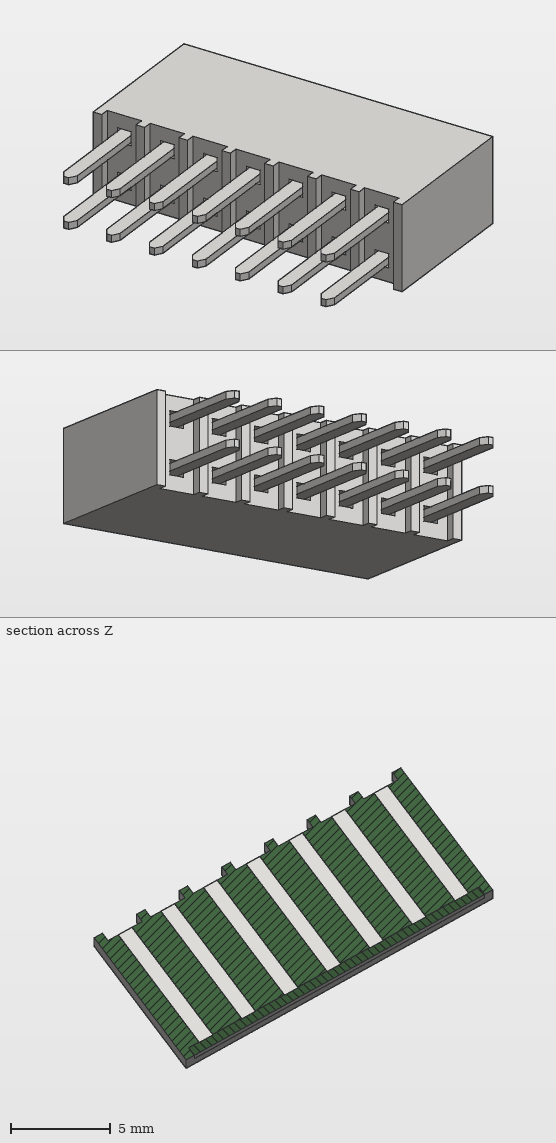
import cadquery as cq

length = 18.29
height = 4.95
total_depth = 13.45
housing_depth = 8.5
columns = 7
rows = 2

rib_width = 0.51
rib_depth = 0.51

pin_width = 0.8
pin_thickness = 0.4
tip_length = 0.4
tip_width = 0.3
hole_side = pin_width

carrier_thickness = 0.51
housing_wall = 0.51

pitch = (length - rib_width) / columns
slot_width = pitch - rib_width
back_y = total_depth / 2
rib_front_y = back_y - housing_depth
face_y = rib_front_y + rib_depth
pin_tip_y = -total_depth / 2
carrier_front_y = back_y - carrier_thickness
carrier_length = length - 2 * housing_wall
carrier_height = height - 2 * housing_wall


def centred_places(count):
    """Places one pitch apart, centred on zero."""
    return [(i - (count - 1) / 2) * pitch for i in range(count)]


def block(size_x, y_start, y_end, size_z, x=0, z=0):
    """Box centred on x and z that runs from y_start to y_end."""
    size_y = y_end - y_start
    return cq.Workplane("XY").box(size_x, size_y, size_z).translate((x, y_start + size_y / 2, z))


column_places = centred_places(columns)
pin_places = [(x, z) for x in column_places for z in centred_places(rows)]


def make_housing():
    """Block with front slots between ribs, through holes for the pins and a back recess."""
    housing = block(length, rib_front_y, back_y, height)
    for x in column_places:
        housing = housing.cut(block(slot_width, rib_front_y, face_y, height, x))
    for x, z in pin_places:
        housing = housing.cut(block(hole_side, face_y, carrier_front_y, hole_side, x, z))
    return housing.cut(block(carrier_length, carrier_front_y, back_y, carrier_height))


def make_pin(x, z):
    """Flat pin reaching forward from the carrier, tapered to a blunt tip in the XY plane."""
    shoulder_y = pin_tip_y + tip_length
    outline = [
        (-pin_width / 2, carrier_front_y),
        (-pin_width / 2, shoulder_y),
        (-tip_width / 2, pin_tip_y),
        (tip_width / 2, pin_tip_y),
        (pin_width / 2, shoulder_y),
        (pin_width / 2, carrier_front_y),
    ]
    pin = cq.Workplane("XY").polyline(outline).close().extrude(pin_thickness / 2, both=True)
    return pin.translate((x, 0, z))


def make_contacts():
    """Carrier plate and all the pins as one solid."""
    contacts = block(carrier_length, carrier_front_y, back_y, carrier_height)
    for x, z in pin_places:
        contacts = contacts.union(make_pin(x, z))
    return contacts


housing = make_housing()
contacts = make_contacts()

result = cq.Compound.makeCompound([housing.solids().val(), contacts.solids().val()])